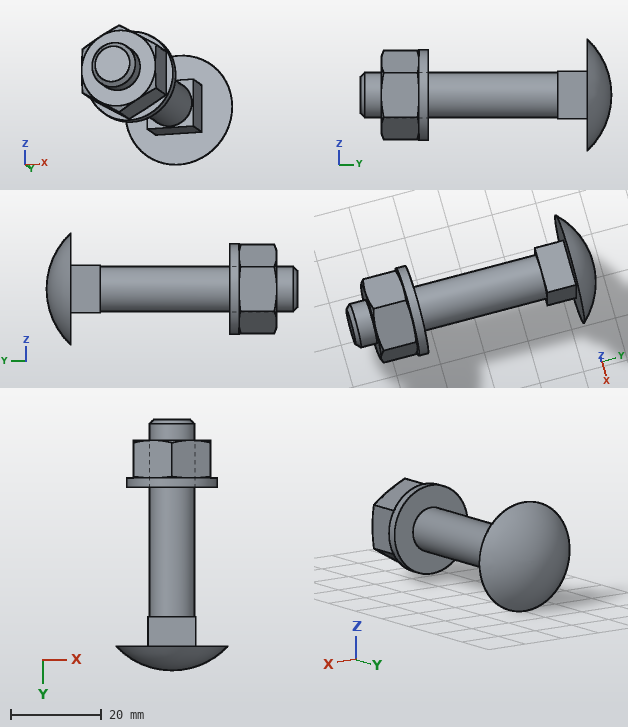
import cadquery as cq
import math


overall_length = 55.4
head_diameter = 24.65
head_height = 5.35
neck_width = 10.6
neck_length = 6.55
shank_diameter = 9.95
tip_chamfer = 1.0

washer_diameter = 20.0
washer_thickness = 2.1
nut_width = 17.0
nut_height = 8.3
nut_front_bevel = 0.55
nut_back_bevel = 0.35
tip_projection = 4.6

tip_y = head_height - overall_length
nut_front_y = tip_y + tip_projection
nut_back_y = nut_front_y + nut_height
nut_corner_radius = nut_width / math.sqrt(3)
nut_flat_radius = nut_width / 2
shank_radius = shank_diameter / 2


def revolve_about_y(profile):
    """Revolve a closed XY profile a full turn about the Y axis."""
    return profile.close().revolve(360, (0, 0, 0), (0, 1, 0))


def cylinder(radius, start_y, end_y):
    """Cylinder on the Y axis between two Y positions."""
    return cq.Workplane("XZ", origin=(0, end_y, 0)).circle(radius).extrude(end_y - start_y)


def make_bolt():
    """Domed head, square neck and round shank with a chamfered tip."""
    head_radius = head_diameter / 2
    dome_radius = (head_radius**2 + head_height**2) / (2 * head_height)
    half_angle = math.asin(head_radius / dome_radius) / 2
    arc_middle = (
        dome_radius * math.sin(half_angle),
        head_height - dome_radius * (1 - math.cos(half_angle)),
    )
    head = revolve_about_y(
        cq.Workplane("XY")
        .lineTo(head_radius, 0)
        .threePointArc(arc_middle, (0, head_height))
    )
    neck = cq.Workplane("XZ").rect(neck_width, neck_width).extrude(neck_length)
    shank = cylinder(shank_radius, tip_y, 0).faces("<Y").edges().chamfer(tip_chamfer)
    return head.union(neck).union(shank)


def make_washer():
    """Flat ring between the nut and the head."""
    washer_back_y = nut_back_y + washer_thickness
    ring = cylinder(washer_diameter / 2, nut_back_y, washer_back_y)
    return ring.cut(cylinder(shank_radius, nut_back_y, washer_back_y))


def make_nut():
    """Hexagon nut with corners pointing along Z, bevelled at both ends."""
    hexagon = (
        cq.Workplane("XZ", origin=(0, nut_back_y, 0))
        .transformed(rotate=(0, 0, 90))
        .polygon(6, 2 * nut_corner_radius)
        .extrude(nut_height)
    )
    bevel_envelope = revolve_about_y(
        cq.Workplane("XY")
        .moveTo(0, nut_front_y)
        .lineTo(nut_flat_radius, nut_front_y)
        .lineTo(nut_corner_radius, nut_front_y + nut_front_bevel)
        .lineTo(nut_corner_radius, nut_back_y - nut_back_bevel)
        .lineTo(nut_flat_radius, nut_back_y)
        .lineTo(0, nut_back_y)
    )
    return hexagon.intersect(bevel_envelope).cut(cylinder(shank_radius, nut_front_y, nut_back_y))


bolt = make_bolt().solids()
washer = make_washer().solids()
nut = make_nut().solids()

result = cq.Compound.makeCompound([bolt.val(), washer.val(), nut.val()])